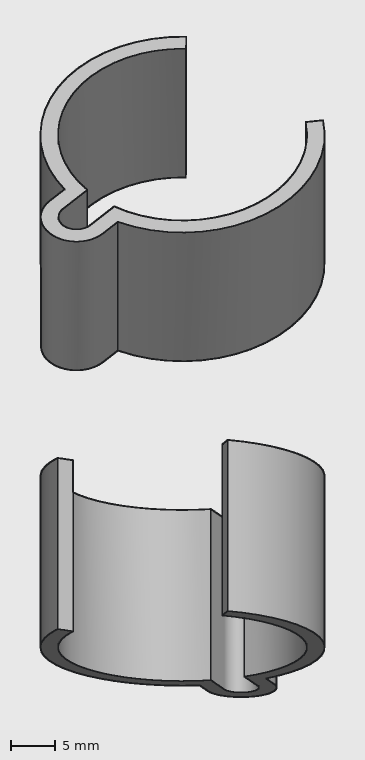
import cadquery as cq
import math

overall_length = 34.25
height = 20.0
ring_outer_radius = 16.0
loop_outer_radius = 4.0
wall = 2.0
tip_angle = 50.0

ring_inner_radius = ring_outer_radius - wall
loop_inner_radius = loop_outer_radius - wall
tip_y = ring_outer_radius * math.sin(math.radians(tip_angle))
loop_center_y = tip_y - overall_length + loop_outer_radius


def ring_point(radius, angle):
    """Point on a circle about the ring axis, angle in degrees from +X."""
    a = math.radians(angle)
    return (radius * math.cos(a), radius * math.sin(a))


def clip_boundary(ring_radius, loop_radius):
    """Key points of one wall surface: right tip, ring side, junction, loop start, loop bottom."""
    junction_y = -math.sqrt(ring_radius**2 - loop_radius**2)
    return {
        "tip": ring_point(ring_radius, tip_angle),
        "side": (ring_radius, 0),
        "junction": (loop_radius, junction_y),
        "loop_start": (loop_radius, loop_center_y),
        "loop_bottom": (0, loop_center_y - loop_radius),
    }


def mirrored(point):
    """Same point on the -X side."""
    return (-point[0], point[1])


outer = clip_boundary(ring_outer_radius, loop_outer_radius)
inner = clip_boundary(ring_inner_radius, loop_inner_radius)

profile = (
    cq.Workplane("XY")
    .moveTo(*outer["tip"])
    .threePointArc(outer["side"], outer["junction"])
    .lineTo(*outer["loop_start"])
    .threePointArc(outer["loop_bottom"], mirrored(outer["loop_start"]))
    .lineTo(*mirrored(outer["junction"]))
    .threePointArc(mirrored(outer["side"]), mirrored(outer["tip"]))
    .lineTo(*mirrored(inner["tip"]))
    .threePointArc(mirrored(inner["side"]), mirrored(inner["junction"]))
    .lineTo(*mirrored(inner["loop_start"]))
    .threePointArc(inner["loop_bottom"], inner["loop_start"])
    .lineTo(*inner["junction"])
    .threePointArc(inner["side"], inner["tip"])
    .close()
)

result = profile.extrude(height)